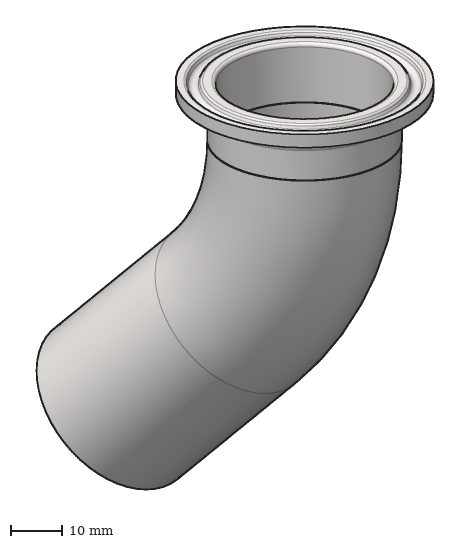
import cadquery as cq
import math

tube_outer_radius = 19.05
tube_wall = 1.65
tube_bore_radius = tube_outer_radius - tube_wall

bend_angle = 45.0
bend_radius = 57.15
leg_length = 39.825

weld_gap = 0.14
ferrule_height = 12.7
flange_radius = 25.2
flange_rim_height = 2.85
flange_back_slope = 20.0
neck_fillet_radius = 1.7
mouth_fillet_radius = 0.8

groove_radius = 21.82
groove_half_width = 1.83
groove_lip_radius = 0.56
groove_bottom_radius = 1.16
groove_wall_angle = 63.5


def make_ferrule_blank():
    """Revolve the neck and the clamp flange with its conical back."""
    rim_bottom = ferrule_height - flange_rim_height
    cone_drop = (flange_radius - tube_outer_radius) * math.tan(math.radians(flange_back_slope))
    cone_bottom = rim_bottom - cone_drop
    blank = (
        cq.Workplane("XZ")
        .moveTo(tube_bore_radius, 0)
        .lineTo(tube_outer_radius, 0)
        .lineTo(tube_outer_radius, cone_bottom)
        .lineTo(flange_radius, rim_bottom)
        .lineTo(flange_radius, ferrule_height)
        .lineTo(tube_bore_radius, ferrule_height)
        .close()
        .revolve(360, (0, 0, 0), (0, 1, 0))
    )
    neck_corner = cq.selectors.NearestToPointSelector((0, 0, cone_bottom))
    blank = blank.edges(neck_corner).fillet(neck_fillet_radius)
    return blank.faces(">Z").edges(cq.selectors.RadiusNthSelector(0)).fillet(mouth_fillet_radius)


def make_gasket_groove():
    """Ring of material that the gasket groove removes from the ferrule face."""
    wall = math.radians(groove_wall_angle)
    half_wall = wall / 2

    lip_mid_offset = groove_half_width - groove_lip_radius * math.sin(half_wall)
    lip_mid_depth = groove_lip_radius * (1 - math.cos(half_wall))
    wall_top_offset = groove_half_width - groove_lip_radius * math.sin(wall)
    wall_top_depth = groove_lip_radius * (1 - math.cos(wall))
    wall_end_offset = groove_bottom_radius * math.sin(wall)
    wall_end_depth = wall_top_depth + (wall_top_offset - wall_end_offset) * math.tan(wall)
    bottom_depth = wall_end_depth + groove_bottom_radius * (1 - math.cos(wall))

    def section_point(offset, depth):
        return (groove_radius + offset, ferrule_height - depth)

    return (
        cq.Workplane("XZ")
        .moveTo(*section_point(-groove_half_width, 0))
        .threePointArc(
            section_point(-lip_mid_offset, lip_mid_depth),
            section_point(-wall_top_offset, wall_top_depth),
        )
        .lineTo(*section_point(-wall_end_offset, wall_end_depth))
        .threePointArc(
            section_point(0, bottom_depth),
            section_point(wall_end_offset, wall_end_depth),
        )
        .lineTo(*section_point(wall_top_offset, wall_top_depth))
        .threePointArc(
            section_point(lip_mid_offset, lip_mid_depth),
            section_point(groove_half_width, 0),
        )
        .close()
        .revolve(360, (0, 0, 0), (0, 1, 0))
    )


def make_ferrule():
    """Clamp ferrule with the gasket groove cut into its face."""
    return make_ferrule_blank().cut(make_gasket_groove())


def make_elbow():
    """Bend from Z = 0 down and towards -X, then add the straight leg to its end."""
    bend = (
        cq.Workplane("XY")
        .circle(tube_outer_radius)
        .circle(tube_bore_radius)
        .revolve(bend_angle, (-bend_radius, 0, 0), (-bend_radius, 1, 0))
    )
    angle = math.radians(bend_angle)
    bend_end = (-bend_radius * (1 - math.cos(angle)), 0, -bend_radius * math.sin(angle))
    leg_direction = (-math.sin(angle), 0, -math.cos(angle))
    leg_plane = cq.Plane(origin=bend_end, xDir=(0, 1, 0), normal=leg_direction)
    leg = (
        cq.Workplane(leg_plane)
        .circle(tube_outer_radius)
        .circle(tube_bore_radius)
        .extrude(leg_length)
    )
    return bend.union(leg)


ferrule = make_ferrule().translate((0, 0, weld_gap))
elbow = make_elbow()

result = cq.Compound.makeCompound([ferrule.solids().val(), elbow.solids().val()])